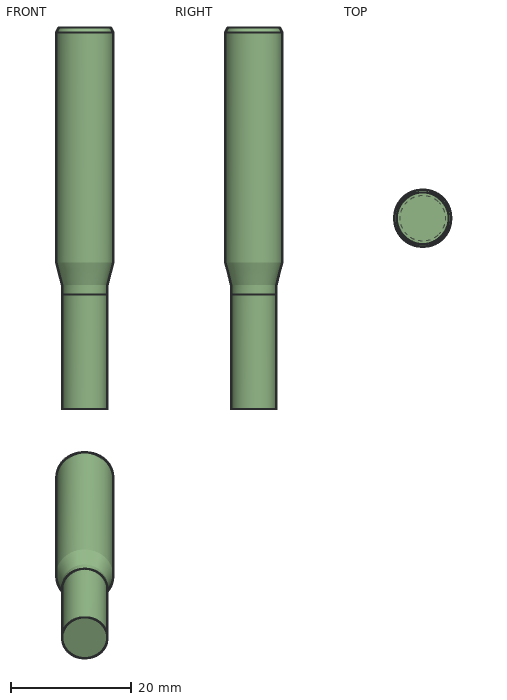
import cadquery as cq

total_length = 63.5
shank_diameter = 9.5

cutter_diameter = 7.55
cutter_length = 19.05

neck_length = 1.5
cone_length = 3.8

bevel_height = 0.8
bevel_width = 0.45

shank_radius = shank_diameter / 2
neck_radius = cutter_diameter / 2
neck_top = cutter_length + neck_length
cone_top = neck_top + cone_length


def make_cutter():
    """Solid cylinder standing on the XY plane."""
    return cq.Workplane("XY").circle(cutter_diameter / 2).extrude(cutter_length)


def make_shank():
    """Turned shank with a neck, a cone and a bevelled top, resting on the cutter."""
    half_profile = (
        cq.Workplane("XZ")
        .moveTo(0, cutter_length)
        .lineTo(neck_radius, cutter_length)
        .lineTo(neck_radius, neck_top)
        .lineTo(shank_radius, cone_top)
        .lineTo(shank_radius, total_length - bevel_height)
        .lineTo(shank_radius - bevel_width, total_length)
        .lineTo(0, total_length)
        .close()
    )
    return half_profile.revolve(360, (0, 0, 0), (0, 1, 0))


cutter = make_cutter()
shank = make_shank()

result = cq.Compound.makeCompound([cutter.val(), shank.val()])